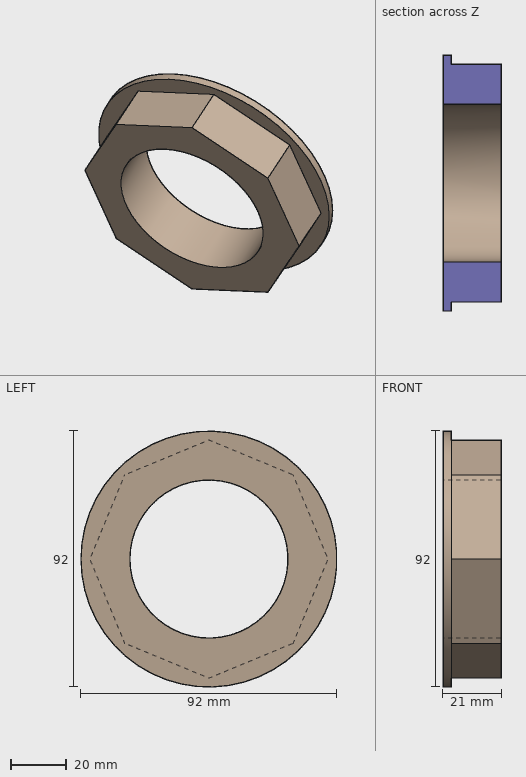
import cadquery as cq
import math

flange_diameter = 92.0
bore_diameter = 56.7
total_length = 21.0
flange_thickness = 2.9
side_count = 8
across_flats = 79.0

across_corners = across_flats / math.cos(math.pi / side_count)


def make_flange():
    """Round flange with its outer face on the YZ plane."""
    return cq.Workplane("YZ").circle(flange_diameter / 2).extrude(flange_thickness)


def make_octagonal_body():
    """Octagonal prism along X, with corners on the Y and Z axes."""
    return cq.Workplane("YZ").polygon(side_count, across_corners).extrude(total_length)


def make_bore():
    """Cylinder that opens the part from end to end."""
    return cq.Workplane("YZ").circle(bore_diameter / 2).extrude(total_length)


result = make_flange().union(make_octagonal_body()).cut(make_bore())